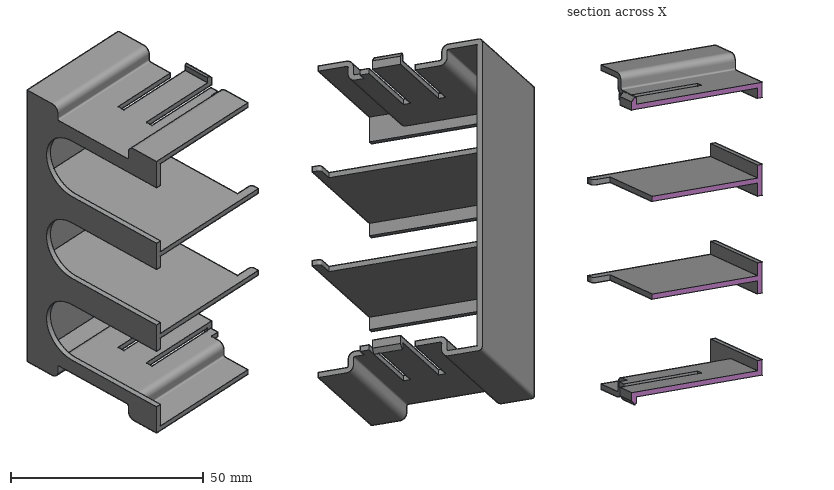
import cadquery as cq

WIDTH = 46.5
HEIGHT = 88.0
DEPTH = 35.0
WALL = 1.5
SIDE_FILLET = 1.0
MID_Z = HEIGHT / 2

CHANNEL_START_X = 11.5
CHANNEL_END_X = 36.5
CHANNEL_DEPTH = 4.25
CHANNEL_MOUTH_RADIUS = 2.0
CHANNEL_FLOOR_RADIUS = 0.5

BAY_COUNT = 3
BAY_PITCH = 26.5
OPENING_WIDTH = 18.0
OPENING_START_X = 7.5

SHELF_BACK_Y = 33.7
PEG_WIDTH = 2.5
PEG_END_Y = 39.0
PEG_FILLET = 1.0

CLIP_CENTER_X = 25.0
CLIP_WIDTH = 8.0
CLIP_SLOT_WIDTH = 2.0
CLIP_ROOT_Y = 15.0
CLIP_END_Y = 40.0
HOOK_HEIGHT = 2.1
HOOK_INNER_Y = 38.4
HOOK_TIP_Y = 38.9
HOOK_RAMP = 1.3
HOOK_LEAD = 0.5
TAB_WIDTH = 2.5
TAB_END_Y = 37.5

CLIP_START_X = CLIP_CENTER_X - CLIP_WIDTH / 2
CLIP_END_X = CLIP_CENTER_X + CLIP_WIDTH / 2
FLOOR_Z = HEIGHT - CHANNEL_DEPTH


def block(x_range, y_range, z_range):
    """Box spanning the given ranges."""
    sizes = [high - low for low, high in (x_range, y_range, z_range)]
    corner = (x_range[0], y_range[0], z_range[0])
    return cq.Workplane("XY").box(*sizes, centered=False).translate(corner)


def both_ends(upper):
    """A feature of the top end together with its mirror image at the bottom end."""
    lower = upper.mirror("XY", (0, 0, MID_Z))
    return upper.union(lower)


def prism(inset, y_start):
    """Channelled outline shrunk by inset, running from y_start to the back face."""
    left = inset
    channel_left = CHANNEL_START_X - inset
    channel_right = CHANNEL_END_X + inset
    low, high = inset, HEIGHT - inset
    floor_low = CHANNEL_DEPTH + inset
    floor_high = HEIGHT - floor_low
    solid = (
        cq.Workplane("XZ", origin=(0, y_start, 0))
        .moveTo(left, low)
        .lineTo(channel_left, low)
        .lineTo(channel_left, floor_low)
        .lineTo(channel_right, floor_low)
        .lineTo(channel_right, low)
        .lineTo(WIDTH, low)
        .lineTo(WIDTH, high)
        .lineTo(channel_right, high)
        .lineTo(channel_right, floor_high)
        .lineTo(channel_left, floor_high)
        .lineTo(channel_left, high)
        .lineTo(left, high)
        .close()
        .extrude(y_start - DEPTH)
    )
    for x in (channel_left, channel_right):
        for mouth_z, floor_z in ((low, floor_low), (high, floor_high)):
            solid = round_edge(solid, x, mouth_z, CHANNEL_MOUTH_RADIUS - inset)
            solid = round_edge(solid, x, floor_z, CHANNEL_FLOOR_RADIUS + inset)
    return solid


def round_edge(solid, x, z, radius):
    """Fillet the edge along Y at (x, z)."""
    reach = 0.01
    picker = cq.selectors.BoxSelector(
        (x - reach, -DEPTH, z - reach), (x + reach, 2 * DEPTH, z + reach)
    )
    return solid.edges("|Y").edges(picker).fillet(radius)


def make_shell():
    """Thin-walled body, open at the back and at the +X side."""
    body = prism(0, 0)
    body = body.faces("<X").edges("not >Y").fillet(SIDE_FILLET)
    return body.cut(prism(WALL, WALL))


def make_openings():
    """U-shaped cutters through the front plate, one per bay."""
    radius = OPENING_WIDTH / 2
    arc_x = OPENING_START_X + radius
    cutters = cq.Workplane("XZ")
    for index in range(BAY_COUNT):
        z = MID_Z + (index - (BAY_COUNT - 1) / 2) * BAY_PITCH
        cutters = (
            cutters.moveTo(WIDTH, z - radius)
            .lineTo(arc_x, z - radius)
            .threePointArc((OPENING_START_X, z), (arc_x, z + radius))
            .lineTo(WIDTH, z + radius)
            .close()
        )
    return cutters.extrude(-WALL)


def make_shelf(z):
    """Horizontal divider centred at z with its rounded peg."""
    z_range = (z - WALL / 2, z + WALL / 2)
    plate = block((WALL / 2, WIDTH), (WALL / 2, SHELF_BACK_Y), z_range)
    peg = block((WIDTH - PEG_WIDTH, WIDTH), (SHELF_BACK_Y, PEG_END_Y), z_range)
    peg = peg.edges("|Z and <X and >Y").fillet(PEG_FILLET)
    return plate.union(peg)


def make_clip_slots():
    """Cutters that free both sides of each clip."""
    z_range = (FLOOR_Z - WALL, FLOOR_Z)
    y_range = (CLIP_ROOT_Y, DEPTH)
    left = block((CLIP_START_X - CLIP_SLOT_WIDTH, CLIP_START_X), y_range, z_range)
    right = block((CLIP_END_X, CLIP_END_X + CLIP_SLOT_WIDTH), y_range, z_range)
    return both_ends(left.union(right))


def make_clips():
    """Hooked clip tongues continuing the channel floors."""
    tip_z = FLOOR_Z + HOOK_HEIGHT
    upper = (
        cq.Workplane("YZ", origin=(CLIP_START_X, 0, 0))
        .moveTo(CLIP_ROOT_Y, FLOOR_Z - WALL)
        .lineTo(CLIP_END_Y, FLOOR_Z - WALL)
        .lineTo(CLIP_END_Y, tip_z - HOOK_RAMP)
        .lineTo(HOOK_TIP_Y, tip_z)
        .lineTo(HOOK_INNER_Y, tip_z - HOOK_LEAD)
        .lineTo(HOOK_INNER_Y, FLOOR_Z)
        .lineTo(CLIP_ROOT_Y, FLOOR_Z)
        .close()
        .extrude(CLIP_WIDTH)
    )
    return both_ends(upper)


def make_tabs():
    """Locating tabs beside the clips at the back of the channel floors."""
    start_x = CLIP_END_X + CLIP_SLOT_WIDTH
    upper = block((start_x, start_x + TAB_WIDTH), (DEPTH, TAB_END_Y), (FLOOR_Z - WALL, FLOOR_Z))
    return both_ends(upper)


result = make_shell().cut(make_openings()).cut(make_clip_slots())
for gap in range(BAY_COUNT - 1):
    shelf_z = MID_Z + (gap - (BAY_COUNT - 2) / 2) * BAY_PITCH
    result = result.union(make_shelf(shelf_z))
result = result.union(make_clips()).union(make_tabs())